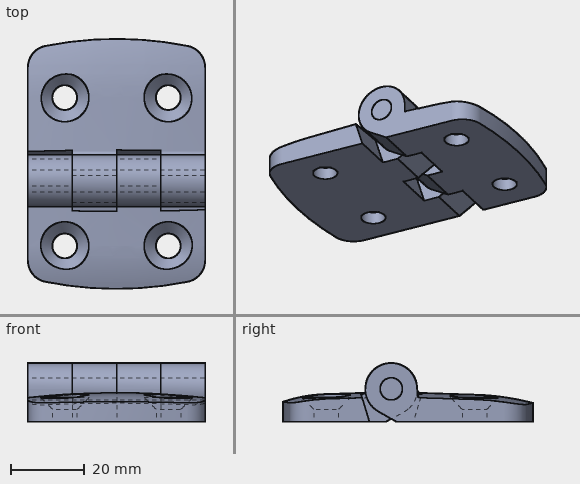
import cadquery as cq
import math

WIDTH = 48.0
LENGTH = 67.6
HEIGHT = 15.95
BARREL_RADIUS = 7.0
AXIS_Z = HEIGHT - BARREL_RADIUS
LONG_REACH = 38.3
SHORT_REACH = LENGTH - LONG_REACH

KNUCKLE_COUNT = 4
KNUCKLE_WIDTH = WIDTH / KNUCKLE_COUNT
UNDERSIDE_ANGLE = math.radians(30.0)
ROOT_FILLET = 0.8
PIN_DIAMETER = 6.0

SLOT_FOOT_Y = 5.9
SLOT_WALL_ANGLE = math.radians(17.0)

END_SAG = 1.9
END_HALF_SPAN = 19.2
CORNER_RADIUS = 6.0

CROWN_Z = 8.1
CROWN_SAG = 1.35
TOP_SLOPE = math.radians(1.8)
SECTION_DEPTH = 16.9
SIDE_MARGIN = 0.7
BEND_SWEEP = math.radians(40.0)
LONG_CREASE_Y = 22.8
SHORT_CREASE_Y = 17.65
LONG_BEND_RADIUS = 68.95
SHORT_BEND_RADIUS = 39.9

HOLE_DIAMETER = 6.6
SINK_DIAMETER = 13.05
SINK_TOP_Z = 6.6
SINK_DEPTH = (SINK_DIAMETER - HOLE_DIAMETER) / 2
HOLE_X = 14.0
LONG_HOLE_Y = 22.45
SHORT_HOLE_Y = 17.65


def plate_blank(reach):
    """Straight-sided plate with a bowed end and rounded corners."""
    half = WIDTH / 2
    bow_radius = (END_HALF_SPAN**2 + END_SAG**2) / (2 * END_SAG)
    bow_centre_y = reach - bow_radius
    corner_y = bow_centre_y + math.sqrt(bow_radius**2 - half**2)
    return (
        cq.Workplane("XY")
        .moveTo(-half, SLOT_FOOT_Y / 2)
        .lineTo(half, SLOT_FOOT_Y / 2)
        .lineTo(half, corner_y)
        .threePointArc((0, reach), (-half, corner_y))
        .close()
        .extrude(HEIGHT)
        .edges("|Z")
        .edges(">Y")
        .fillet(CORNER_RADIUS)
    )


def crowned_envelope(crease_y, bend_radius):
    """Solid under the crowned top, longer, wider and deeper than the plate."""
    crown_radius = ((WIDTH / 2) ** 2 + CROWN_SAG**2) / (2 * CROWN_SAG)
    half = WIDTH / 2 + SIDE_MARGIN
    edge_drop = crown_radius - math.sqrt(crown_radius**2 - half**2)
    crease_z = CROWN_Z - crease_y * math.tan(TOP_SLOPE)
    centre_y = crease_y - bend_radius * math.sin(TOP_SLOPE)
    centre_z = crease_z - bend_radius * math.cos(TOP_SLOPE)

    def on_bend(angle):
        return (centre_y + bend_radius * math.sin(angle), centre_z + bend_radius * math.cos(angle))

    path = (
        cq.Workplane("YZ")
        .moveTo(0, CROWN_Z)
        .lineTo(crease_y, crease_z)
        .threePointArc(on_bend(TOP_SLOPE + BEND_SWEEP / 2), on_bend(TOP_SLOPE + BEND_SWEEP))
    )
    start = cq.Plane(
        origin=(0, 0, CROWN_Z),
        xDir=(-1, 0, 0),
        normal=(0, math.cos(TOP_SLOPE), -math.sin(TOP_SLOPE)),
    )
    return (
        cq.Workplane(start)
        .moveTo(-half, -SECTION_DEPTH)
        .lineTo(half, -SECTION_DEPTH)
        .lineTo(half, -edge_drop)
        .threePointArc((0, 0), (-half, -edge_drop))
        .close()
        .sweep(path)
    )


def knuckle(start_x):
    """Barrel with a sloped flat underneath and a straight back down into its leaf."""
    tangent_y = -BARREL_RADIUS * math.sin(UNDERSIDE_ANGLE)
    tangent_z = AXIS_Z - BARREL_RADIUS * math.cos(UNDERSIDE_ANGLE)
    foot_y = tangent_y + tangent_z / math.tan(UNDERSIDE_ANGLE)
    return (
        cq.Workplane("YZ", origin=(start_x, 0, 0))
        .moveTo(foot_y, 0)
        .lineTo(BARREL_RADIUS, 0)
        .lineTo(BARREL_RADIUS, AXIS_Z)
        .threePointArc(
            (-BARREL_RADIUS * math.cos(UNDERSIDE_ANGLE), AXIS_Z + BARREL_RADIUS * math.sin(UNDERSIDE_ANGLE)),
            (tangent_y, tangent_z),
        )
        .close()
        .extrude(KNUCKLE_WIDTH)
    )


def knuckle_slot(start_x):
    """Space for a knuckle of the other leaf, ending in the slanted wall."""
    wall_top_y = SLOT_FOOT_Y + HEIGHT * math.tan(SLOT_WALL_ANGLE)
    return (
        cq.Workplane("YZ", origin=(start_x, 0, 0))
        .polyline([(0, 0), (SLOT_FOOT_Y, 0), (wall_top_y, HEIGHT), (0, HEIGHT)])
        .close()
        .extrude(KNUCKLE_WIDTH)
    )


def screw_hole(x, y):
    """Through hole, 90 degree cone and the straight recess above the cone."""
    bore = cq.Workplane("XY").circle(HOLE_DIAMETER / 2).extrude(SINK_TOP_Z)
    cone = (
        cq.Workplane("XY", origin=(0, 0, SINK_TOP_Z - SINK_DEPTH))
        .circle(HOLE_DIAMETER / 2)
        .workplane(offset=SINK_DEPTH)
        .circle(SINK_DIAMETER / 2)
        .loft()
    )
    recess = cq.Workplane("XY", origin=(0, 0, SINK_TOP_Z)).circle(SINK_DIAMETER / 2).extrude(HEIGHT)
    return bore.union(cone).union(recess).translate((x, y, 0))


def pin_cylinder():
    """Cylinder on the pin axis over the full width."""
    return (
        cq.Workplane("YZ", origin=(-WIDTH / 2, 0, 0))
        .center(0, AXIS_Z)
        .circle(PIN_DIAMETER / 2)
        .extrude(WIDTH)
    )


def leaf(reach, crease_y, bend_radius, hole_y, root_fillet):
    """One leaf, with its plate on the +Y side of the pin."""
    body = plate_blank(reach).intersect(crowned_envelope(crease_y, bend_radius))
    for index in range(KNUCKLE_COUNT):
        start_x = -WIDTH / 2 + index * KNUCKLE_WIDTH
        if index % 2 == 0:
            body = body.cut(knuckle_slot(start_x))
        else:
            body = body.union(knuckle(start_x))
    if root_fillet > 0:
        tolerance = 0.1
        roots = cq.selectors.BoxSelector(
            (-WIDTH, BARREL_RADIUS - tolerance, CROWN_Z - 2 * CROWN_SAG),
            (WIDTH, BARREL_RADIUS + tolerance, CROWN_Z),
        )
        body = body.edges(roots).edges("not |Z").fillet(root_fillet)
    for side in (-1, 1):
        body = body.cut(screw_hole(side * HOLE_X, hole_y))
    return body.cut(pin_cylinder())


long_leaf = leaf(LONG_REACH, LONG_CREASE_Y, LONG_BEND_RADIUS, LONG_HOLE_Y, ROOT_FILLET)

short_leaf = leaf(SHORT_REACH, SHORT_CREASE_Y, SHORT_BEND_RADIUS, SHORT_HOLE_Y, 0)
short_leaf = short_leaf.rotate((0, 0, 0), (0, 0, 1), 180)

pin = pin_cylinder()

result = cq.Compound.makeCompound([long_leaf.solids().val(), short_leaf.solids().val(), pin.val()])